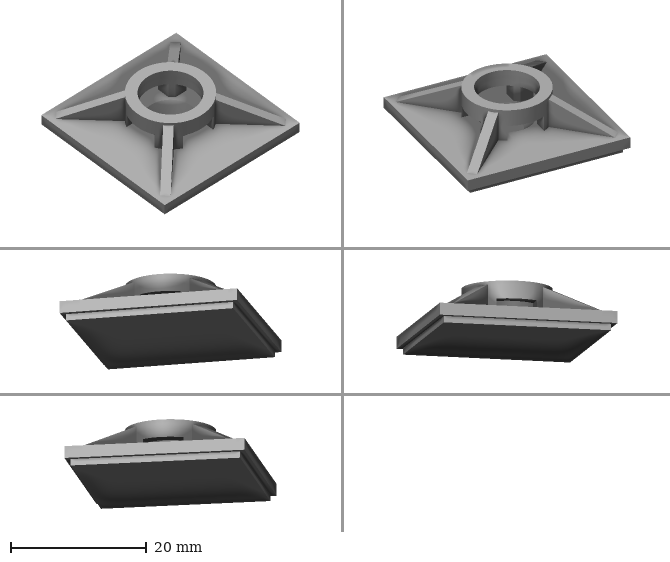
import cadquery as cq
import math

plate_side = 27.0
foot_side = 25.38
foot_height = 0.97
plate_thickness = 1.8
total_height = 8.0
plate_top = foot_height + plate_thickness

ring_diameter = 13.5
bore_diameter = 9.72
window_width = 6.1
window_top = 5.32

seat_top_diameter = 8.5
seat_bottom_diameter = 5.0

rib_width = 1.57
rib_reach = 17.0
rib_top = 7.5
rib_inner = (bore_diameter + ring_diameter) / 4
rib_count = 4
first_rib_angle = 45


def make_base():
    foot = cq.Workplane("XY").rect(foot_side, foot_side).extrude(foot_height)
    plate = (
        cq.Workplane("XY")
        .workplane(offset=foot_height)
        .rect(plate_side, plate_side)
        .extrude(plate_thickness)
    )
    return foot.union(plate)


def make_ring():
    ring = (
        cq.Workplane("XY")
        .workplane(offset=plate_top)
        .circle(ring_diameter / 2)
        .circle(bore_diameter / 2)
        .extrude(total_height - plate_top)
    )
    for length, width in ((plate_side, window_width), (window_width, plate_side)):
        window = (
            cq.Workplane("XY")
            .workplane(offset=plate_top)
            .rect(length, width)
            .extrude(window_top - plate_top)
        )
        ring = ring.cut(window)
    return ring


def make_rib(angle):
    ring_contact = math.sqrt((ring_diameter / 2) ** 2 - (rib_width / 2) ** 2)
    profile = [
        (rib_inner, plate_top),
        (rib_reach, plate_top),
        (ring_contact, rib_top),
        (rib_inner, rib_top),
    ]
    rib = cq.Workplane("XZ").polyline(profile).close().extrude(rib_width / 2, both=True)
    return rib.rotate((0, 0, 0), (0, 0, 1), angle)


def make_screw_seat():
    return (
        cq.Workplane("XY")
        .workplane(offset=foot_height)
        .circle(seat_bottom_diameter / 2)
        .workplane(offset=plate_thickness)
        .circle(seat_top_diameter / 2)
        .loft(ruled=True)
    )


result = make_base().union(make_ring())
for index in range(rib_count):
    result = result.union(make_rib(first_rib_angle + index * 360 / rib_count))
result = result.cut(make_screw_seat())